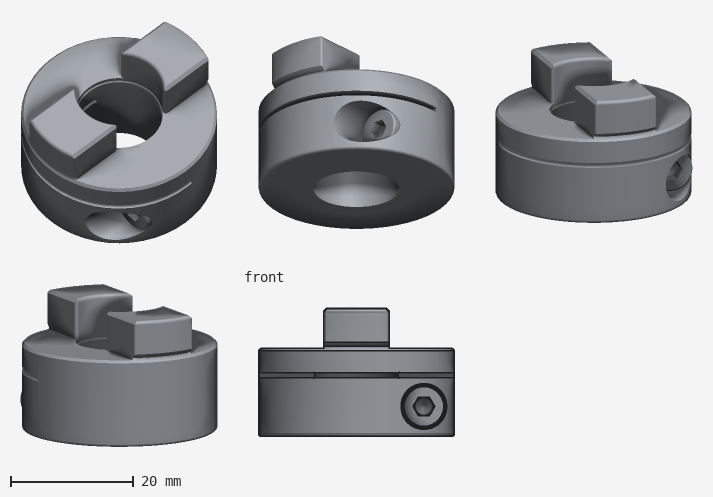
import cadquery as cq

hub_radius = 16
hub_height = 14.4
bore_radius = 7.0
bottom_rounding = 0.48
top_chamfer = 0.4
recess_radius = 7.2
recess_depth = 0.67

total_height = 20.9
jaw_width = 10.75
jaw_corner_rounding = 0.4
jaw_side_chamfer = 0.5
jaw_rim_rounding = 0.58
groove_depth = 0.7

slit_bottom = 9.57
slit_height = 0.83
slit_end_y = 1.5

screw_x = 11.0
screw_z = 4.9
head_radius = 3.52
head_height = 4.0
head_chamfer = 0.25
head_face_y = -7.5
shank_radius = 2.0
shank_length = 10.0
socket_across_flats = 3.0
socket_depth = 2.0
socket_turn = 30
socket_cone_depth = 0.85
counterbore_radius = 3.7

head_seat_y = head_face_y + head_height


def cylinder_along_y(radius, start_y, length):
    """Cylinder on the screw axis, running towards +Y from start_y."""
    return cq.Workplane(
        cq.Solid.makeCylinder(radius, length, cq.Vector(screw_x, start_y, screw_z), cq.Vector(0, 1, 0))
    )


def make_base():
    """Ring with a rounded lower rim, chamfered upper rim and recessed, chamfered bore mouth."""
    ring = cq.Workplane("XY").circle(hub_radius).extrude(hub_height)
    ring = ring.faces("<Z").edges().fillet(bottom_rounding)
    ring = ring.faces(">Z").edges().chamfer(top_chamfer)
    recess_floor = hub_height - recess_depth
    bore_chamfer = recess_radius - bore_radius
    bore_profile = [
        (0, 0),
        (bore_radius, 0),
        (bore_radius, recess_floor - bore_chamfer),
        (recess_radius, recess_floor),
        (recess_radius, hub_height),
        (0, hub_height),
    ]
    bore = cq.Workplane("XZ").polyline(bore_profile).close().revolve(360, (0, 0, 0), (0, 1, 0))
    return ring.cut(bore)


def make_jaw_ring(height):
    """Ring with the inner and outer radii of the jaws, standing on the hub."""
    outline = cq.Workplane("XY", origin=(0, 0, hub_height)).circle(hub_radius).circle(recess_radius)
    return outline.extrude(height)


def make_jaw(side):
    """Jaw on the +Y (side = 1) or -Y (side = -1) half, with rounded rims and chamfered sides."""
    jaw_height = total_height - hub_height
    bar = cq.Workplane("XY").box(jaw_width, hub_radius, jaw_height, centered=(True, True, False))
    bar = bar.translate((0, side * hub_radius / 2, hub_height))
    block = make_jaw_ring(jaw_height).intersect(bar).edges("|Z").fillet(jaw_corner_rounding)
    rounded_ring = make_jaw_ring(jaw_height).faces(">Z").edges().fillet(jaw_rim_rounding)
    chamfered_bar = bar.faces(">Z").edges("|Y").chamfer(jaw_side_chamfer)
    return block.intersect(rounded_ring).intersect(chamfered_bar)


def make_groove():
    """V-shaped ring at the jaw feet whose lower flank continues the hub's upper chamfer."""
    lower_z = hub_height - top_chamfer
    apex_radius = hub_radius - groove_depth
    profile = [
        (hub_radius, lower_z),
        (apex_radius, lower_z + groove_depth),
        (hub_radius, lower_z + 2 * groove_depth),
    ]
    return cq.Workplane("XZ").polyline(profile).close().revolve(360, (0, 0, 0), (0, 1, 0))


def make_slit():
    """Horizontal cut through the ring from its -Y side."""
    slit_length = hub_radius + slit_end_y
    slit = cq.Workplane("XY").box(2 * hub_radius, slit_length, slit_height, centered=(True, False, False))
    return slit.translate((0, -hub_radius, slit_bottom))


def make_hub():
    """Slit hub with its two jaws and the stepped hole for the clamp screw."""
    hub = make_base()
    for side in (-1, 1):
        hub = hub.union(make_jaw(side))
    hub = hub.cut(make_groove()).cut(make_slit())
    counterbore = cylinder_along_y(counterbore_radius, -hub_radius, hub_radius + head_seat_y)
    shank_hole = cylinder_along_y(shank_radius, head_seat_y, shank_length)
    return hub.cut(counterbore).cut(shank_hole)


def make_socket():
    """Hexagonal key socket ending in a conical drill point."""
    hexagon = cq.Workplane("XZ", origin=(screw_x, head_face_y, screw_z))
    hexagon = hexagon.polygon(6, socket_across_flats, circumscribed=True).extrude(-socket_depth)
    cone = cq.Solid.makeCone(
        socket_across_flats / 2,
        0,
        socket_cone_depth,
        cq.Vector(screw_x, head_face_y + socket_depth, screw_z),
        cq.Vector(0, 1, 0),
    )
    hexagon = hexagon.rotate((screw_x, 0, screw_z), (screw_x, 1, screw_z), socket_turn)
    return hexagon.union(cq.Workplane(cone))


def make_screw():
    """Socket-head screw whose shank fills its hole in the hub."""
    head = cylinder_along_y(head_radius, head_face_y, head_height)
    head = head.faces("<Y").edges().chamfer(head_chamfer)
    shank = cylinder_along_y(shank_radius, head_seat_y, shank_length)
    return head.union(shank).cut(make_socket())


hub = make_hub()
clamp_screw = make_screw()
result = cq.Compound.makeCompound([hub.solids().val(), clamp_screw.solids().val()])